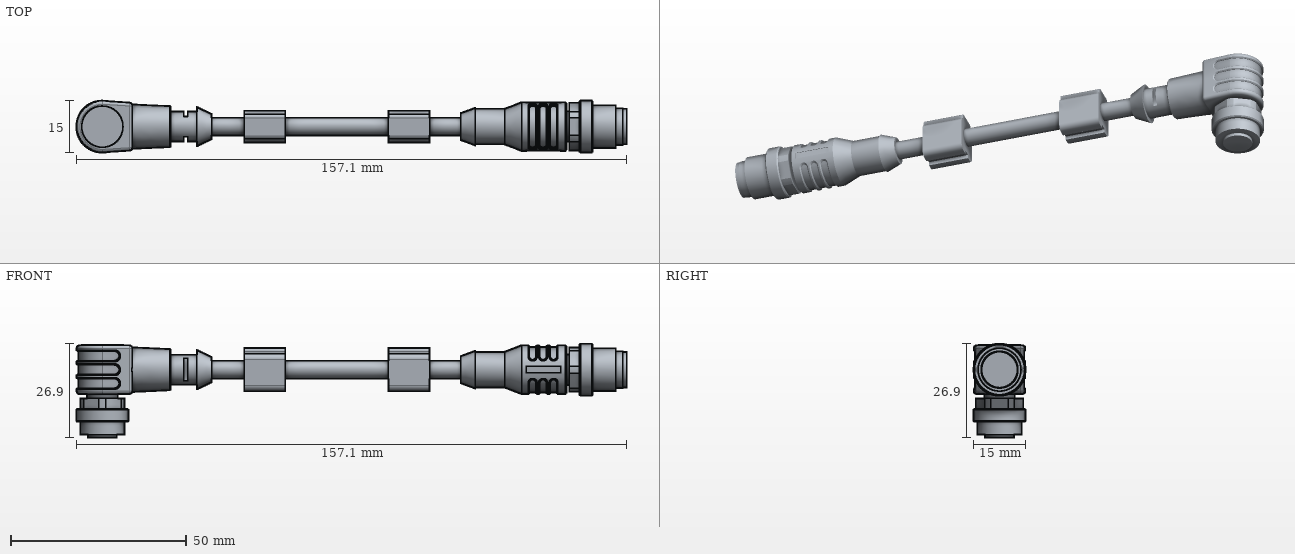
import cadquery as cq
import math

OVERALL_LENGTH = 157.1
CABLE_D = 5.2

RING_D = 15.0
RING_CHAMFER = 0.3
HEX_FLATS = 12.7
HEX_CORNER_D = 13.7
NUT_NECK_D = 8.8

HEAD_D = 14.8
HEAD_AXIS_X = RING_D / 2
HEAD_BACK_X = 16.0
HEAD_BACK_WIDTH = 13.7
HEAD_HEIGHT = 14.0
HEAD_EDGE_FILLET = 1.0
CAP_D = 11.8
CAP_STEP = 0.08

HEAD_GROOVE_DEPTH = 0.5
HEAD_GROOVE_HEIGHT = 2.7
HEAD_GROOVE_PITCH = 4.0
HEAD_GROOVE_COUNT = 3
HEAD_GROOVE_END_X = 12.3
HEAD_GROOVE_BEVEL = 0.3

SOCKET_HEX_TOP = -8.2
SOCKET_RING_TOP = -11.2
SOCKET_RING_BOTTOM = -15.0
SOCKET_SLEEVE_BOTTOM = -18.5
SOCKET_SLEEVE_D = 12.7
SOCKET_INSERT_D = 8.3
OVERALL_HEIGHT = 26.9
SOCKET_BOTTOM = RING_D / 2 - OVERALL_HEIGHT

SLEEVE_START_D = 12.9
SLEEVE_END_D = 11.8
SLEEVE_END_X = 27.0
SLEEVE_END_CHAMFER = 0.3
NECK_D = 8.6
NECK_NOTCH_X = 31.3
NECK_NOTCH_WIDTH = 1.1
NECK_NOTCH_DEPTH = 1.4
COLLAR_START_X = 34.4
COLLAR_END_X = 38.6
COLLAR_START_D = 11.3
COLLAR_END_D = 7.2

CLIP_STARTS_X = (47.9, 89.0)
CLIP_LENGTH = 11.8
CLIP_WIDTH = 9.1
CLIP_HEIGHT = 12.4
CLIP_FILLET = 1.7
CLIP_CAP_WIDTH = 7.0
CLIP_CAP_HEIGHT = 1.5
CLIP_CAP_FILLET = 1.0
CLIP_GROOVE_WIDTH = 2.4
CLIP_GROOVE_DEPTH = 1.1

BOOT_START_X = 109.7
BOOT_START_D = 7.7
BOOT_RIM_X = 113.9
BOOT_RIM_D = 10.8
STEM_D = 10.2
STEM_END_X = 122.2
GRIP_START_X = 127.1
GRIP_END_X = 140.0
GRIP_D = 14.0
GRIP_END_CHAMFER = 0.5
PLUG_HEX_START_X = 140.6
PLUG_RING_START_X = 143.6
PLUG_RING_END_X = 147.4
PLUG_BARREL_D = 12.3
PLUG_BARREL_END_X = 154.0
PLUG_TIP_D = 10.5
PLUG_TIP_END_X = 156.0
PLUG_LIP_D = 10.2

GRIP_GROOVE_DEPTH = 0.5
GRIP_GROOVE_BEVEL = 0.3
GRIP_GROOVE_WIDTH = 1.9
GRIP_GROOVE_PITCH = 3.0
GRIP_GROOVE_MIDDLE_X = 133.2
GRIP_GROOVE_CENTRES_X = [GRIP_GROOVE_MIDDLE_X + step * GRIP_GROOVE_PITCH for step in (-1, 0, 1)]
GRIP_GROOVE_END_Z = 2.8
WINDOW_START_X = 128.4
WINDOW_END_X = 138.2
WINDOW_HEIGHT = 1.9
WINDOW_DEPTH = 0.24


def rod_x(start_x, end_x, diameter):
    """Cylinder on the cable axis."""
    return cq.Workplane("YZ", origin=(start_x, 0, 0)).circle(diameter / 2).extrude(end_x - start_x)


def cone_x(start_x, end_x, start_d, end_d):
    """Cone frustum on the cable axis."""
    return cq.Workplane(
        cq.Solid.makeCone(
            start_d / 2, end_d / 2, end_x - start_x,
            pnt=cq.Vector(start_x, 0, 0), dir=cq.Vector(1, 0, 0),
        )
    )


def rod_z(bottom_z, top_z, diameter):
    """Vertical cylinder on the head axis."""
    base = cq.Workplane("XY", origin=(HEAD_AXIS_X, 0, bottom_z))
    return base.circle(diameter / 2).extrude(top_z - bottom_z)


def hexagon(base, length):
    """Hexagonal prism with two sides across the local Y axis and its corners turned round."""
    prism = base.polygon(6, HEX_FLATS / math.cos(math.pi / 6)).extrude(length)
    return prism.intersect(base.circle(HEX_CORNER_D / 2).extrude(length))


def bevel_rims(body, zone, core, bevel):
    """Chamfer the groove rims: the edges in the zone that lie entirely clear of the groove floor.

    Edges along X or Z are only seams of the smooth outer surface and are left alone.
    """
    floor = core.val()
    candidates = body.edges(zone).edges("not (|X or |Z)").vals()
    rims = [edge for edge in candidates if edge.distance(floor) > bevel]
    return body.newObject([body.val().chamfer(bevel, None, rims)])


def head_outline(inset, height):
    """Prism with a round front and slightly converging sides, all moved inwards by the inset."""
    radius = HEAD_D / 2 - inset
    back_half = HEAD_BACK_WIDTH / 2 - inset
    return (
        cq.Workplane("XY", origin=(0, 0, -height / 2))
        .moveTo(HEAD_AXIS_X, radius)
        .threePointArc((HEAD_AXIS_X - radius, 0), (HEAD_AXIS_X, -radius))
        .lineTo(HEAD_BACK_X, -back_half)
        .lineTo(HEAD_BACK_X, back_half)
        .close()
        .extrude(height)
    )


def head():
    """Head of the angled connector with finger grooves round its front."""
    body = head_outline(0, HEAD_HEIGHT).faces("<Z or >Z or >X").edges().fillet(HEAD_EDGE_FILLET)
    core = head_outline(HEAD_GROOVE_DEPTH, HEAD_HEIGHT)
    end_radius = HEAD_GROOVE_HEIGHT / 2
    straight_end_x = HEAD_GROOVE_END_X - end_radius
    for index in range(HEAD_GROOVE_COUNT):
        level = (index - (HEAD_GROOVE_COUNT - 1) / 2) * HEAD_GROOVE_PITCH
        groove = (
            cq.Workplane("XZ")
            .moveTo(-HEAD_D, level - end_radius)
            .lineTo(straight_end_x, level - end_radius)
            .threePointArc((HEAD_GROOVE_END_X, level), (straight_end_x, level + end_radius))
            .lineTo(-HEAD_D, level + end_radius)
            .close()
            .extrude(HEAD_D, both=True)
        )
        body = body.cut(groove.cut(core))
    top_level = (HEAD_GROOVE_COUNT - 1) / 2 * HEAD_GROOVE_PITCH + end_radius
    zone = cq.selectors.BoxSelector(
        (-HEAD_D, -HEAD_D, -top_level - HEAD_GROOVE_BEVEL),
        (HEAD_GROOVE_END_X, HEAD_D, top_level + HEAD_GROOVE_BEVEL),
    )
    body = bevel_rims(body, zone, core, HEAD_GROOVE_BEVEL)
    return body.union(rod_z(0, HEAD_HEIGHT / 2 + CAP_STEP, CAP_D))


def socket():
    """Nut and mating face below the head."""
    hex_base = cq.Workplane("XY", origin=(HEAD_AXIS_X, 0, SOCKET_RING_TOP))
    hex_nut = hexagon(hex_base.transformed(rotate=(0, 0, 90)), SOCKET_HEX_TOP - SOCKET_RING_TOP)
    ring = rod_z(SOCKET_RING_BOTTOM, SOCKET_RING_TOP, RING_D).faces("<Z or >Z").chamfer(RING_CHAMFER)
    return (
        rod_z(SOCKET_BOTTOM, 0, SOCKET_INSERT_D)
        .union(rod_z(SOCKET_HEX_TOP, 0, NUT_NECK_D))
        .union(hex_nut)
        .union(ring)
        .union(rod_z(SOCKET_SLEEVE_BOTTOM, SOCKET_RING_BOTTOM, SOCKET_SLEEVE_D))
    )


def head_outlet():
    """Tapered sleeve, notched neck and collar between the head and the cable."""
    neck = rod_x(SLEEVE_END_X, COLLAR_START_X, NECK_D)
    for side in (-1, 1):
        notch_y = side * (NECK_D / 2 - NECK_NOTCH_DEPTH / 2)
        notch = cq.Workplane("XY").box(NECK_NOTCH_WIDTH, NECK_NOTCH_DEPTH, NECK_D)
        neck = neck.cut(notch.translate((NECK_NOTCH_X, notch_y, 0)))
    sleeve = cone_x(HEAD_BACK_X - HEAD_EDGE_FILLET, SLEEVE_END_X, SLEEVE_START_D, SLEEVE_END_D)
    sleeve = sleeve.faces(">X").chamfer(SLEEVE_END_CHAMFER)
    return (
        sleeve
        .union(neck)
        .union(cone_x(COLLAR_START_X, COLLAR_END_X, COLLAR_START_D, COLLAR_END_D))
    )


def clip(start_x):
    """Label clip: a rounded block, grooved along its underside, with a narrower rounded cap on top."""
    bottom_z = -CLIP_HEIGHT / 2
    middle_x = start_x + CLIP_LENGTH / 2
    on_floor = (True, True, False)
    base = cq.Workplane("XY", origin=(middle_x, 0, bottom_z))

    block = base.box(CLIP_LENGTH, CLIP_WIDTH, CLIP_HEIGHT - CLIP_CAP_HEIGHT, centered=on_floor)
    block = block.edges("|X").fillet(CLIP_FILLET)
    block = block.cut(base.box(CLIP_LENGTH, CLIP_GROOVE_WIDTH, CLIP_GROOVE_DEPTH, centered=on_floor))

    cap_base = cq.Workplane("XY", origin=(middle_x, 0, 0))
    cap = cap_base.box(CLIP_LENGTH, CLIP_CAP_WIDTH, CLIP_HEIGHT / 2, centered=on_floor)
    return block.union(cap.edges("|X and >Z").fillet(CLIP_CAP_FILLET))


def plug_grip():
    """Grip of the plug with finger grooves above and below and a window on each side."""
    grip = rod_x(GRIP_START_X, GRIP_END_X, GRIP_D).faces(">X").chamfer(GRIP_END_CHAMFER)
    core = rod_x(GRIP_START_X, GRIP_END_X, GRIP_D - 2 * GRIP_GROOVE_DEPTH)
    groove_radius = GRIP_GROOVE_WIDTH / 2
    arc_level = GRIP_GROOVE_END_Z + groove_radius
    for centre_x in GRIP_GROOVE_CENTRES_X:
        for side in (-1, 1):
            groove = (
                cq.Workplane("XZ")
                .moveTo(centre_x - groove_radius, side * GRIP_D)
                .lineTo(centre_x - groove_radius, side * arc_level)
                .threePointArc(
                    (centre_x, side * GRIP_GROOVE_END_Z),
                    (centre_x + groove_radius, side * arc_level),
                )
                .lineTo(centre_x + groove_radius, side * GRIP_D)
                .close()
                .extrude(GRIP_D, both=True)
            )
            grip = grip.cut(groove.cut(core))
    zone = cq.selectors.BoxSelector(
        (WINDOW_START_X, -GRIP_D, -GRIP_D),
        (WINDOW_END_X, GRIP_D, GRIP_D),
    )
    grip = bevel_rims(grip, zone, core, GRIP_GROOVE_BEVEL)
    for side in (-1, 1):
        window = cq.Workplane("XY").box(WINDOW_END_X - WINDOW_START_X, 2 * WINDOW_DEPTH, WINDOW_HEIGHT)
        grip = grip.cut(window.translate(((WINDOW_START_X + WINDOW_END_X) / 2, side * GRIP_D / 2, 0)))
    return grip


def plug():
    """Straight plug from its cable boot to its tip."""
    hex_base = cq.Workplane("YZ", origin=(PLUG_HEX_START_X, 0, 0))
    ring = rod_x(PLUG_RING_START_X, PLUG_RING_END_X, RING_D).faces("<X or >X").chamfer(RING_CHAMFER)
    return (
        cone_x(BOOT_START_X, BOOT_RIM_X, BOOT_START_D, BOOT_RIM_D)
        .union(rod_x(BOOT_RIM_X, STEM_END_X, STEM_D))
        .union(cone_x(STEM_END_X, GRIP_START_X, STEM_D, GRIP_D))
        .union(plug_grip())
        .union(rod_x(GRIP_START_X, PLUG_RING_END_X, NUT_NECK_D))
        .union(hexagon(hex_base, PLUG_RING_START_X - PLUG_HEX_START_X))
        .union(ring)
        .union(rod_x(PLUG_RING_END_X, PLUG_BARREL_END_X, PLUG_BARREL_D))
        .union(rod_x(PLUG_BARREL_END_X, PLUG_TIP_END_X, PLUG_TIP_D))
        .union(rod_x(PLUG_TIP_END_X, OVERALL_LENGTH, PLUG_LIP_D))
    )


result = head().union(socket()).union(head_outlet())
result = result.union(rod_x(SLEEVE_END_X, GRIP_START_X, CABLE_D))
for clip_start_x in CLIP_STARTS_X:
    result = result.union(clip(clip_start_x))
result = result.union(plug())